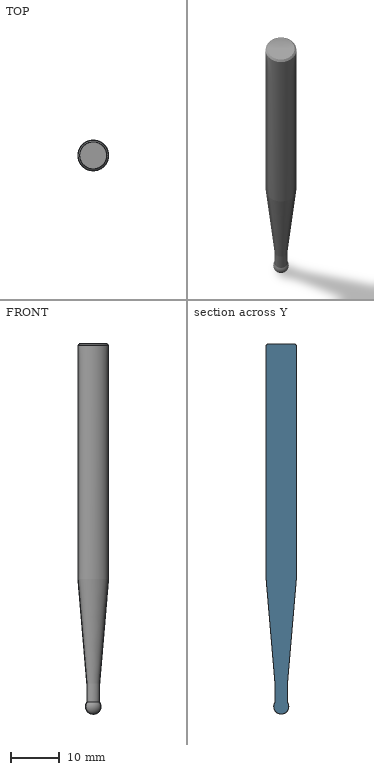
import cadquery as cq
import math

total_length = 76.2
shank_diameter = 6.3
shank_length = 48.4
end_chamfer = 0.4
neck_diameter = 2.7
ball_diameter = 3.2
neck_top = 6.3

shank_radius = shank_diameter / 2
neck_radius = neck_diameter / 2
ball_radius = ball_diameter / 2
shank_bottom = total_length - shank_length
ball_top = ball_radius + math.sqrt(ball_radius**2 - neck_radius**2)

half_profile = (
    cq.Workplane("XZ")
    .moveTo(0, 0)
    .threePointArc((ball_radius, ball_radius), (neck_radius, ball_top))
    .lineTo(neck_radius, neck_top)
    .lineTo(shank_radius, shank_bottom)
    .lineTo(shank_radius, total_length - end_chamfer)
    .lineTo(shank_radius - end_chamfer, total_length)
    .lineTo(0, total_length)
    .close()
)

result = half_profile.revolve(360, (0, 0), (0, 1))